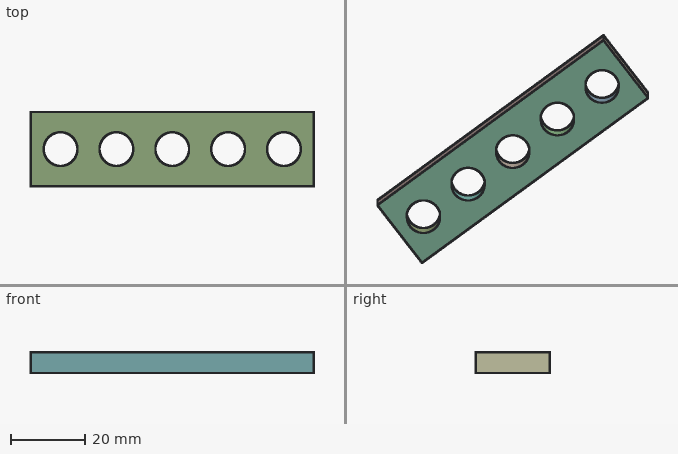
import cadquery as cq

length = 76.0
width = 20.0
thickness = 5.6

hole_diameter = 9.0
hole_count = 5
hole_pitch = 15.0


def make_plate():
    """Rectangular plate centred on X and Y, resting on Z = 0."""
    return cq.Workplane("XY").box(length, width, thickness, centered=(True, True, False))


def drill_hole_row(plate):
    """Drill the evenly spaced row of through holes, centred on the plate."""
    return (
        plate.faces(">Z")
        .workplane()
        .rarray(hole_pitch, width, hole_count, 1)
        .hole(hole_diameter)
    )


result = drill_hole_row(make_plate())